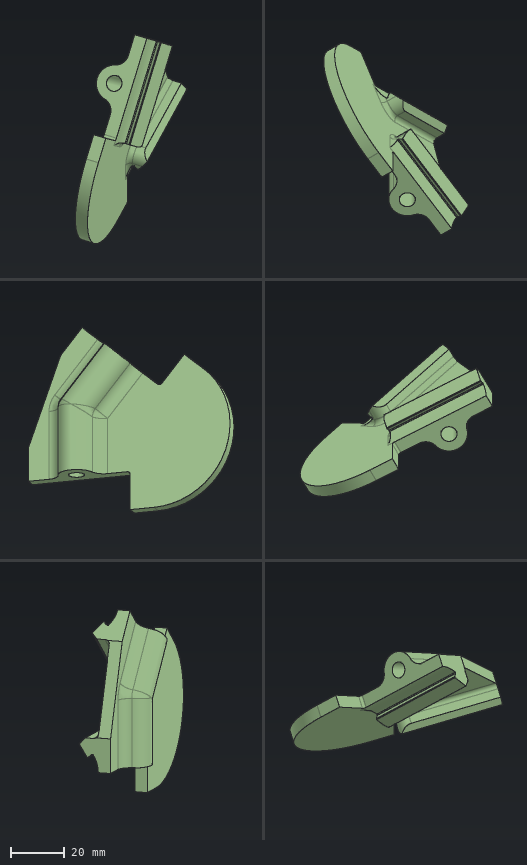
import cadquery as cq
import math


plate_thickness = 5.0
round_radius = 30.0
bend_angle = 40.0
mating_drop = 15.0
leg_reach = 49.78
mating_length = 40.2
outer_edge_length = 13.35
notch_radius = 1.0

tube_radius = 7.0
bore_diameter = 6.0
tube_blend = 5.0
tube_axis_x = -2.0
tube_axis_y = 30.0

rib_height = 7.68
rib_depth = 13.05
rib_corner_radius = 5.0
rib_foot_radius = 1.9
scoop_radius = 12.0
groove_start = 2.1
groove_end = 2.6
lip_start = 4.0
lip_end = 4.4
lip_depth = 5.5
crest_depth = 10.6
inner_side_height = 5.3

notch_y = leg_reach - mating_length
bend_radians = math.radians(bend_angle)
groove_depth = math.sqrt(scoop_radius**2 - (scoop_radius - groove_start) ** 2)
foot_half_width = math.sqrt(tube_radius**2 - tube_axis_x**2)
trim_size = 4 * round_radius
tolerance = 0.01


def mirrored_point(y, z):
    """Image of a (y, z) point across the symmetry plane."""
    c = math.cos(bend_radians)
    s = math.sin(bend_radians)
    return (y * c + z * s, y * s - z * c)


def mirrored_body(body):
    """Image of a body across the symmetry plane."""
    return body.mirror("XY").rotate((0, 0, 0), (1, 0, 0), bend_angle)


def plate_blank(start_x, thickness):
    """Plate outline, with sharp notches, extruded along X."""
    lower = [
        (0, -round_radius),
        (notch_y, -round_radius),
        (notch_y, -mating_drop),
        (leg_reach, -mating_drop),
        (leg_reach, outer_edge_length - mating_drop),
    ]
    upper = [mirrored_point(y, z) for y, z in reversed(lower)]
    half_bend = bend_radians / 2
    far_point = (-round_radius * math.cos(half_bend), -round_radius * math.sin(half_bend))
    outline = cq.Workplane("YZ", origin=(start_x, 0, 0)).polyline(lower + upper)
    return outline.threePointArc(far_point, lower[0]).close().extrude(thickness)


def make_plate():
    plate = plate_blank(0, plate_thickness)
    lower_notch = (notch_y, -mating_drop)
    for y, z in (lower_notch, mirrored_point(*lower_notch)):
        corner = cq.selectors.BoxSelector(
            (0, y - tolerance, z - tolerance),
            (plate_thickness, y + tolerance, z + tolerance),
        )
        plate = plate.edges(corner).fillet(notch_radius)
    return plate


def tube_arm(radius):
    """Lower arm of the bent tube, mitred on the symmetry plane and seamed along its crown."""
    start = cq.Workplane("XY", origin=(tube_axis_x, tube_axis_y, -mating_drop))
    circle = start.moveTo(-radius, 0).threePointArc((0, radius), (radius, 0))
    arm = circle.threePointArc((0, -radius), (-radius, 0)).close().extrude(2 * round_radius)
    below = cq.Workplane("XY").box(trim_size, trim_size, trim_size)
    below = below.translate((0, 0, -trim_size / 2)).rotate((0, 0, 0), (1, 0, 0), bend_angle / 2)
    return arm.intersect(below)


def is_on_foot(point):
    """True where the tube meets the plate's -X face."""
    offsets = []
    for y in (point.y, mirrored_point(point.y, point.z)[0]):
        offsets.append(abs(abs(y - tube_axis_y) - foot_half_width))
    return abs(point.x) < tolerance and min(offsets) < tolerance


def foot_edges(body):
    """Edges along the tube foot, with the rounded corner of the bend."""
    found = []
    for edge in body.edges().vals():
        ends_on_foot = is_on_foot(edge.startPoint()) and is_on_foot(edge.endPoint())
        if ends_on_foot and (edge.geomType() == "BSPLINE" or is_on_foot(edge.Center())):
            found.append(edge)
    return found


def add_tube(plate):
    arm = tube_arm(tube_radius)
    body = plate.union(arm, clean=False).union(mirrored_body(arm), clean=False)
    body = body.edges("%ELLIPSE").edges(">Y").fillet(tube_blend)
    body = body.newObject(foot_edges(body)).fillet(tube_blend)
    body = body.edges("%ELLIPSE").fillet(tube_blend)
    return body


def cut_bore(body):
    arm = tube_arm(bore_diameter / 2)
    return body.cut(arm).cut(mirrored_body(arm))


def rib_block():
    """Plain rib with its rounded inner corner and a filleted foot on a thin pad."""
    top_z = rib_depth - mating_drop
    far_y = leg_reach + rib_foot_radius
    bottom_z = top_z - mating_drop
    face = cq.Workplane("YZ", origin=(plate_thickness, 0, 0))
    block = face.moveTo(notch_y, bottom_z).lineTo(notch_y, top_z - rib_corner_radius)
    block = block.radiusArc((notch_y + rib_corner_radius, top_z), rib_corner_radius)
    block = block.lineTo(far_y, top_z).lineTo(far_y, bottom_z).close()
    block = block.extrude(rib_height)
    pad = face.rect(trim_size, trim_size).extrude(-plate_thickness / 2)
    foot = cq.selectors.BoxSelector(
        (plate_thickness - tolerance, notch_y - tolerance, bottom_z + tolerance),
        (plate_thickness + tolerance, leg_reach, top_z + tolerance),
    )
    return block.union(pad).edges(foot).fillet(rib_foot_radius)


def rib_section():
    """Hooked cross-section of the rib, run along the whole mating edge."""
    half_depth = groove_depth / 2
    scoop_mid = (scoop_radius - math.sqrt(scoop_radius**2 - half_depth**2), half_depth)
    above_foot = rib_depth + 2 * rib_foot_radius
    outline = cq.Workplane("XZ", origin=(plate_thickness, trim_size / 2, -mating_drop))
    outline = outline.threePointArc(scoop_mid, (groove_start, groove_depth))
    outline = outline.lineTo(groove_end, groove_depth)
    outline = outline.lineTo(lip_start, lip_depth).lineTo(lip_end, lip_depth)
    outline = outline.lineTo(rib_height, crest_depth).lineTo(inner_side_height, rib_depth)
    outline = outline.lineTo(inner_side_height, above_foot).lineTo(0, above_foot).close()
    return outline.extrude(trim_size)


def add_ribs(body):
    rib = rib_block().intersect(rib_section())
    rib = rib.intersect(plate_blank(plate_thickness, rib_height))
    return body.union(rib).union(mirrored_body(rib))


result = add_ribs(cut_bore(add_tube(make_plate())))